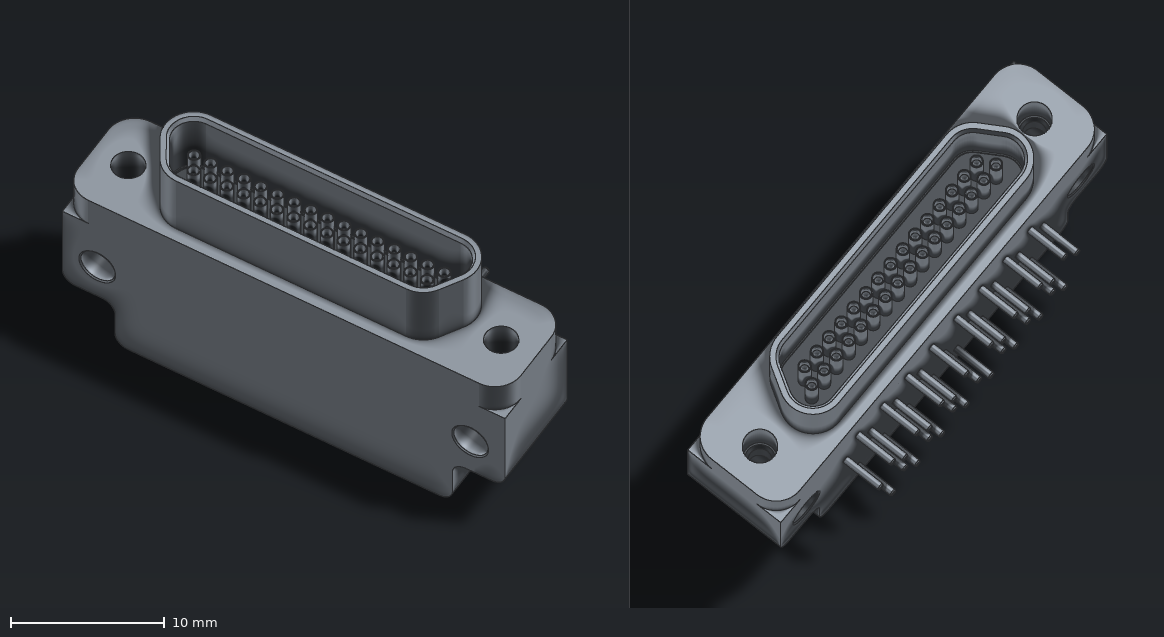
import cadquery as cq
import math


width = 33.7
depth = 7.8
body_height = 13.35
ear_height = 9.35
foot_width = 25.68
body_round = 1.0
flange_corner_radius = 2.0
corner_notch_height = 2.35

hole_spacing = 28.38
cross_hole_diameter = 2.6
cross_hole_depth = 6.37
cross_hole_chamfer = 0.1
screw_bore_diameter = 2.3
screw_bore_depth = 3.37
screw_cone_diameter = 2.02
screw_pilot_diameter = 1.6

shell_height = 4.85
shell_depth = 5.93
shell_back_half_width = 13.55
shell_flank_angle = 31.0
shell_corner_radius = 2.2
shell_wall = 0.6
rim_width = 0.4
rim_chamfer_height = 0.27
floor_ledge_width = 0.1
floor_ledge_height = 0.17

long_row_count = 16
long_row_length = 19.05
contact_pitch = long_row_length / (long_row_count - 1)
contact_row_gap = 1.1
contact_root = 0.35
contact_height = 3.37
contact_diameter = 0.88
mouth_diameter = 0.75
mouth_depth = 0.27
socket_diameter = 0.57
socket_depth = 0.67
drill_point_angle = 118.0

pin_diameter = 0.5
pin_tip_diameter = 0.4
pin_tip_length = 0.1
pin_length = 3.0
first_pin_depth = 3.3
pin_spacing = 2 * contact_pitch


def make_body():
    half = width / 2
    foot_half = foot_width / 2
    outline = [
        (-half, 0),
        (half, 0),
        (half, -ear_height),
        (foot_half, -ear_height),
        (foot_half, -body_height),
        (-foot_half, -body_height),
        (-foot_half, -ear_height),
        (-half, -ear_height),
    ]
    body = cq.Workplane("XZ").polyline(outline).close().extrude(depth / 2, both=True)
    body = body.edges("|Y and (not >Z)").fillet(body_round)
    block = cq.Workplane("XY").rect(width, depth).extrude(-corner_notch_height)
    return body.cut(block.cut(block.edges("|Z").fillet(flange_corner_radius)))


def d_sketch(inset):
    """Rounded D outline of the shell, moved inward by inset."""
    flank = math.radians(shell_flank_angle)
    back = shell_depth / 2 - inset
    back_half = shell_back_half_width - inset / math.cos(flank) - inset * math.tan(flank)
    front_half = back_half - 2 * back * math.tan(flank)
    corners = [(-back_half, back), (back_half, back), (front_half, -back), (-front_half, -back)]
    return cq.Sketch().polygon(corners + corners[:1]).vertices().fillet(shell_corner_radius - inset)


def d_prism(inset, bottom, top):
    return cq.Workplane("XY", origin=(0, 0, bottom)).placeSketch(d_sketch(inset)).extrude(top - bottom)


def d_loft(bottom_inset, bottom, top_inset, top):
    lower = d_sketch(bottom_inset)
    upper = d_sketch(top_inset).moved(cq.Location(cq.Vector(0, 0, top - bottom)))
    return cq.Workplane("XY", origin=(0, 0, bottom)).placeSketch(lower, upper).loft()


def make_cavity():
    rim_chamfer_bottom = shell_height - rim_chamfer_height
    floor = d_prism(shell_wall + floor_ledge_width, 0, floor_ledge_height)
    straight = d_prism(shell_wall, floor_ledge_height, rim_chamfer_bottom)
    flare = d_loft(shell_wall, rim_chamfer_bottom, rim_width, shell_height)
    return floor.union(straight).union(flare)


def revolve_about_z(profile):
    return cq.Workplane("XZ").polyline(profile).close().revolve(360, (0, 0), (0, 1))


def make_contact():
    radius = contact_diameter / 2
    socket_radius = socket_diameter / 2
    socket_bottom = contact_height - socket_depth
    point_length = socket_radius / math.tan(math.radians(drill_point_angle / 2))
    return revolve_about_z([
        (0, -contact_root),
        (radius, -contact_root),
        (radius, contact_height),
        (mouth_diameter / 2, contact_height),
        (socket_radius, contact_height - mouth_depth),
        (socket_radius, socket_bottom),
        (0, socket_bottom - point_length),
    ])


def contact_places():
    for count, y in (
        (long_row_count, contact_row_gap / 2),
        (long_row_count - 1, -contact_row_gap / 2),
    ):
        for i in range(count):
            yield cq.Vector((i - (count - 1) / 2) * contact_pitch, y, 0)


def make_pin():
    return (
        cq.Workplane("XZ", origin=(0, depth / 2, 0))
        .circle(pin_diameter / 2)
        .extrude(-pin_length)
        .faces(">Y")
        .chamfer(pin_tip_length, (pin_diameter - pin_tip_diameter) / 2)
    )


def pin_places():
    rows = [
        [-7, -5, -3, -1, 1, 3, 5, 7],
        [-8, -6, -4, -2, 2, 4, 6, 8],
        [-6, -4, -2, 0, 2, 4, 6],
        [-7, -5, -3, -1, 1, 3, 5, 7],
    ]
    for row, columns in enumerate(rows):
        for column in columns:
            yield cq.Vector(column * contact_pitch, 0, -first_pin_depth - row * pin_spacing)


def make_mounting_hole():
    bore_radius = screw_bore_diameter / 2
    cone_radius = screw_cone_diameter / 2
    pilot_radius = screw_pilot_diameter / 2
    cone_bottom = -screw_bore_depth - (cone_radius - pilot_radius)
    screw_hole = revolve_about_z([
        (0, 0),
        (bore_radius, 0),
        (bore_radius, -screw_bore_depth),
        (cone_radius, -screw_bore_depth),
        (pilot_radius, cone_bottom),
        (pilot_radius, -cross_hole_depth),
        (0, -cross_hole_depth),
    ])
    cross_radius = cross_hole_diameter / 2
    mouth_radius = cross_radius + cross_hole_chamfer
    straight_half = depth / 2 - cross_hole_chamfer
    cross_hole = revolve_about_z([
        (0, -depth / 2),
        (mouth_radius, -depth / 2),
        (cross_radius, -straight_half),
        (cross_radius, straight_half),
        (mouth_radius, depth / 2),
        (0, depth / 2),
    ]).rotate((0, 0, 0), (1, 0, 0), 90).translate((0, 0, -cross_hole_depth))
    return screw_hole.union(cross_hole)


result = make_body().union(d_prism(0, 0, shell_height)).cut(make_cavity())

contact = make_contact()
for place in contact_places():
    result = result.union(contact.translate(place))

pin = make_pin()
for place in pin_places():
    result = result.union(pin.translate(place))

mounting_hole = make_mounting_hole()
for x in (-hole_spacing / 2, hole_spacing / 2):
    result = result.cut(mounting_hole.translate((x, 0, 0)))